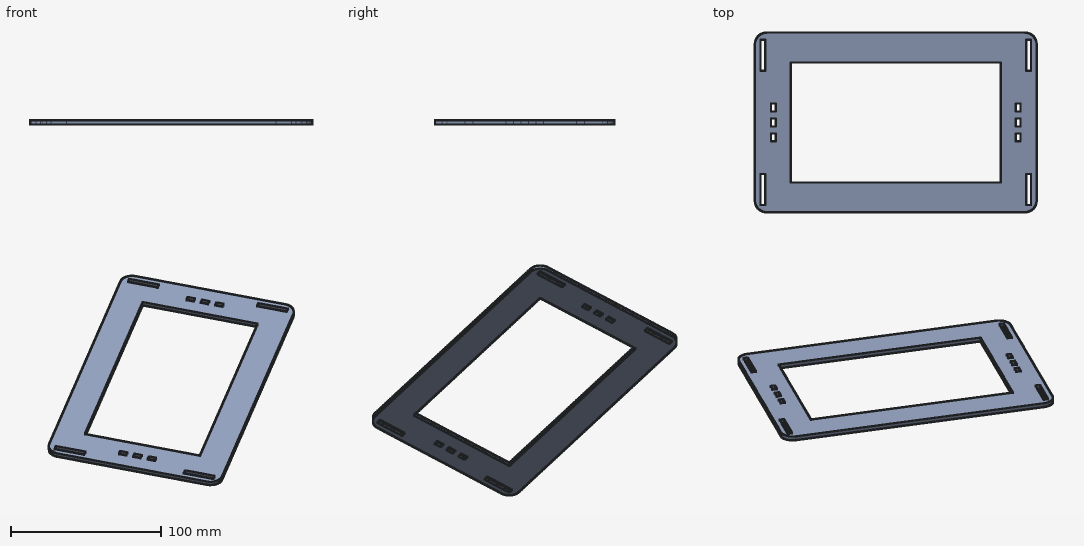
import cadquery as cq

length = 188.0
width = 120.0
thickness = 3.0
corner_radius = 8.0

window_length = 139.7
window_width = 79.7

slot_width = 3.0
strap_slot_length = 20.5
strap_slot_end_inset = 5.5
strap_slot_side_inset = 15.2
small_slot_length = 5.0
small_slot_end_inset = 12.5
small_slot_pitch = 10.0
small_slots_per_side = 3


def cut_rectangles(body, centres, size_x, size_y):
    """Cut a rectangular through hole at each centre."""
    return body.faces(">Z").workplane(origin=(0, 0, 0)).pushPoints(centres).rect(size_x, size_y).cutThruAll()


plate = cq.Workplane("XY").box(length, width, thickness)
plate = plate.edges("|Z").fillet(corner_radius)

plate = cut_rectangles(plate, [(0, 0)], window_length, window_width)

strap_slot_x = length / 2 - strap_slot_end_inset
strap_slot_y = width / 2 - strap_slot_side_inset
strap_slot_centres = [
    (side_x * strap_slot_x, side_y * strap_slot_y)
    for side_x in (-1, 1)
    for side_y in (-1, 1)
]
plate = cut_rectangles(plate, strap_slot_centres, slot_width, strap_slot_length)

small_slot_x = length / 2 - small_slot_end_inset
small_slot_centres = [
    (side_x * small_slot_x, (index - (small_slots_per_side - 1) / 2) * small_slot_pitch)
    for side_x in (-1, 1)
    for index in range(small_slots_per_side)
]
plate = cut_rectangles(plate, small_slot_centres, slot_width, small_slot_length)

result = plate